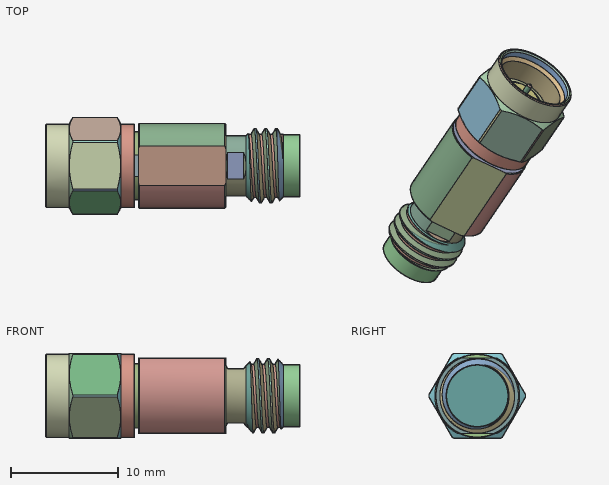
import cadquery as cq
import math

TOTAL_LENGTH = 23.65
X_AXIS = cq.Vector(1, 0, 0)

NUT_LENGTH = 8.28
NUT_RADIUS = 3.88
NUT_FRONT_CHAMFER = 0.1
NUT_REAR_CHAMFER = 0.05
HEX_START = 2.18
HEX_END = 7.02
HEX_ACROSS_FLATS = 7.9
HEX_CORNER_RADIUS = 4.505
HEX_BEVEL_LENGTH = 0.35
NUT_MOUTH_RADIUS = 3.5
NUT_MOUTH_CHAMFER = 0.15
NUT_MOUTH_DEPTH = 0.69
NUT_BORE_START = 0.97
NUT_BORE_RADIUS = 3.17

TUBE_FACE = 2.44
TUBE_RADIUS = 2.36
FLANGE_FACE = 4.73

COLLAR_RADIUS = NUT_BORE_RADIUS
COLLAR_FLAT_HEIGHT = 3.0

BARREL_START = 8.65
BARREL_END = 16.77
BARREL_RADIUS = 3.95
BARREL_FLAT_HEIGHT = 3.5
BARREL_FRONT_CHAMFER = 0.07
BARREL_REAR_CHAMFER = 0.12

NECK_RADIUS = 2.81
NECK_FLAT_HEIGHT = 2.53
NECK_FLAT_START = 16.93
NECK_FLAT_END = 18.42

THREAD_START = 18.64
THREAD_END = 22.11
THREAD_CREST_RADIUS = 3.48
THREAD_ROOT_RADIUS = 2.95
THREAD_PITCH = 1.0
THREAD_ROOT_WIDTH = 0.24
THREAD_FLANK_ANGLE = 30.0
GROOVE_HELIX_START = 18.23
GROOVE_TURNS = 4
GROOVE_OVERSHOOT = 0.07
TIP_RADIUS = 2.897
TIP_CHAMFER = 0.05

INSERT_RADIUS = 1.99
INSERT_CHAMFER = 0.24
INSERT_PROTRUSION = 0.12
INSERT_LENGTH = 2.36
PIN_TIP = 1.0
PIN_RADIUS = 0.25
PIN_CHAMFER = 0.15


def turned(profile):
    """Revolve a closed (x, radius) outline about the X axis."""
    points = [(x, -radius) for x, radius in profile]
    return cq.Workplane("XY").polyline(points).close().revolve(360, (0, 0, 0), (1, 0, 0))


def cylinder(start, end, radius):
    """Solid cylinder along X."""
    return turned([(start, 0), (start, radius), (end, radius), (end, 0)])


def mirrored_cut(solid, cutter):
    """Cut the same shape from the +Z and -Z sides."""
    return solid.cut(cutter).cut(cutter.mirror("XY"))


def cut_flats(solid, start, end, flat_height, outer_radius):
    """Cut two parallel flats at Z = +/-flat_height between two X positions."""
    length = end - start
    cutter = cq.Workplane("XY").box(
        length, 2 * outer_radius, outer_radius, centered=(False, True, False)
    ).translate((start, 0, flat_height))
    return mirrored_cut(solid, cutter)


def make_hex_grip():
    """Hexagon with flats facing +/-Z, its corners rounded and its ends bevelled."""
    across_corners = HEX_ACROSS_FLATS / math.cos(math.pi / 6)
    prism = (
        cq.Workplane("YZ", origin=(HEX_START, 0, 0))
        .polygon(6, across_corners)
        .extrude(HEX_END - HEX_START)
    )
    envelope = turned([
        (HEX_START, 0),
        (HEX_START, NUT_RADIUS),
        (HEX_START + HEX_BEVEL_LENGTH, HEX_CORNER_RADIUS),
        (HEX_END - HEX_BEVEL_LENGTH, HEX_CORNER_RADIUS),
        (HEX_END, NUT_RADIUS),
        (HEX_END, 0),
    ])
    return prism.intersect(envelope)


def make_nut():
    """Coupling nut: round sleeve with a hexagonal grip and a stepped through bore."""
    sleeve = turned([
        (0, 0),
        (0, NUT_RADIUS - NUT_FRONT_CHAMFER),
        (NUT_FRONT_CHAMFER, NUT_RADIUS),
        (NUT_LENGTH - NUT_REAR_CHAMFER, NUT_RADIUS),
        (NUT_LENGTH, NUT_RADIUS - NUT_REAR_CHAMFER),
        (NUT_LENGTH, 0),
    ])
    bore = turned([
        (0, 0),
        (0, NUT_MOUTH_RADIUS + NUT_MOUTH_CHAMFER),
        (NUT_MOUTH_CHAMFER, NUT_MOUTH_RADIUS),
        (NUT_MOUTH_DEPTH, NUT_MOUTH_RADIUS),
        (NUT_BORE_START, NUT_BORE_RADIUS),
        (NUT_LENGTH, NUT_BORE_RADIUS),
        (NUT_LENGTH, 0),
    ])
    return sleeve.union(make_hex_grip()).cut(bore)


def make_blank():
    """Turned body before the flats, the thread groove and the insert bore are cut."""
    start_cone_height = THREAD_CREST_RADIUS - NECK_RADIUS
    end_cone_height = THREAD_CREST_RADIUS - TIP_RADIUS
    return turned([
        (TUBE_FACE, 0),
        (TUBE_FACE, TUBE_RADIUS),
        (FLANGE_FACE, TUBE_RADIUS),
        (FLANGE_FACE, COLLAR_RADIUS),
        (BARREL_START, COLLAR_RADIUS),
        (BARREL_START, BARREL_RADIUS - BARREL_FRONT_CHAMFER),
        (BARREL_START + BARREL_FRONT_CHAMFER, BARREL_RADIUS),
        (BARREL_END - BARREL_REAR_CHAMFER, BARREL_RADIUS),
        (BARREL_END, BARREL_RADIUS - BARREL_REAR_CHAMFER),
        (BARREL_END, NECK_RADIUS),
        (THREAD_START, NECK_RADIUS),
        (THREAD_START + start_cone_height, THREAD_CREST_RADIUS),
        (THREAD_END - end_cone_height, THREAD_CREST_RADIUS),
        (THREAD_END, TIP_RADIUS),
        (TOTAL_LENGTH - TIP_CHAMFER, TIP_RADIUS),
        (TOTAL_LENGTH, TIP_RADIUS - TIP_CHAMFER),
        (TOTAL_LENGTH, 0),
    ])


def make_thread_groove():
    """Right-handed V groove with a flat bottom, running out at both thread ends."""
    outer_radius = THREAD_CREST_RADIUS + GROOVE_OVERSHOOT
    root_half = THREAD_ROOT_WIDTH / 2
    depth = outer_radius - THREAD_ROOT_RADIUS
    outer_half = root_half + depth * math.tan(math.radians(THREAD_FLANK_ANGLE))
    helix = cq.Wire.makeHelix(
        THREAD_PITCH,
        GROOVE_TURNS * THREAD_PITCH,
        THREAD_ROOT_RADIUS,
        cq.Vector(GROOVE_HELIX_START, 0, 0),
        X_AXIS,
    )
    start_point = helix.startPoint()
    radial = cq.Vector(0, start_point.y, start_point.z).normalized()
    section_plane = cq.Plane(
        origin=(GROOVE_HELIX_START, 0, 0), xDir=X_AXIS, normal=X_AXIS.cross(radial)
    )
    section = cq.Workplane(section_plane).polyline([
        (-root_half, THREAD_ROOT_RADIUS),
        (root_half, THREAD_ROOT_RADIUS),
        (outer_half, outer_radius),
        (-outer_half, outer_radius),
    ]).close()
    return section.sweep(cq.Workplane(obj=helix), isFrenet=True)


def make_neck_flat_cutter():
    """Cutter above one neck flat, with sloping ends."""
    return (
        cq.Workplane("XZ")
        .polyline([
            (NECK_FLAT_START, NECK_FLAT_HEIGHT),
            (NECK_FLAT_END, NECK_FLAT_HEIGHT),
            (THREAD_START, NECK_RADIUS),
            (BARREL_END, NECK_RADIUS),
        ])
        .close()
        .extrude(NECK_RADIUS, both=True)
    )


def make_body():
    """Body: tube, collar, flatted barrel, flatted neck and threaded end in one piece."""
    blank = make_blank()
    flatted = cut_flats(blank, NUT_LENGTH, BARREL_START, COLLAR_FLAT_HEIGHT, COLLAR_RADIUS)
    flatted = cut_flats(flatted, BARREL_START, BARREL_END, BARREL_FLAT_HEIGHT, BARREL_RADIUS)
    flatted = mirrored_cut(flatted, make_neck_flat_cutter())
    threaded = flatted.cut(make_thread_groove())
    insert_bore = cylinder(TUBE_FACE, TUBE_FACE + INSERT_LENGTH, INSERT_RADIUS)
    return threaded.cut(insert_bore)


def make_contact():
    """Centre pin with a tapered tip, in one piece with the round insert that fills the tube."""
    insert_face = TUBE_FACE - INSERT_PROTRUSION
    insert_end = TUBE_FACE + INSERT_LENGTH
    return turned([
        (PIN_TIP, 0),
        (PIN_TIP, PIN_RADIUS - PIN_CHAMFER),
        (PIN_TIP + PIN_CHAMFER, PIN_RADIUS),
        (insert_face, PIN_RADIUS),
        (insert_face, INSERT_RADIUS - INSERT_CHAMFER),
        (insert_face + INSERT_CHAMFER, INSERT_RADIUS),
        (insert_end, INSERT_RADIUS),
        (insert_end, 0),
    ])


nut = make_nut()
body = make_body()
contact = make_contact()

result = cq.Compound.makeCompound([*nut.vals(), *body.vals(), *contact.vals()])